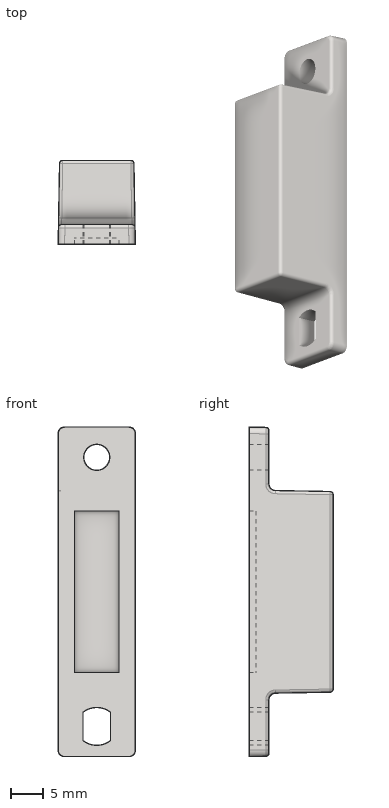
import cadquery as cq

length = 51.0
width = 12.0
depth = 13.0
plate_thickness = 3.05
block_length = 31.5
draft_angle = 1.0

corner_radius = 1.0
root_radius = 1.0
edge_radius = 0.5

opening_offset = 20.8
hole_diameter = 4.0
slot_width = 4.2
slot_length = 5.8
slot_end_rise = 0.7

pocket_width = 6.95
pocket_length = 25.0
pocket_depth = 1.0


def mounting_face():
    """Workplane on the mounting face: local x is -X, local y is Z, normal is +Y."""
    return cq.Workplane("XZ").transformed(rotate=(0, 180, 0))


def tapered_bar(bar_length, bar_depth):
    """Full-width bar that narrows with the draft angle toward +Y."""
    return mounting_face().rect(width, bar_length).extrude(bar_depth, taper=draft_angle)


def make_body():
    """Drafted plate and block with rounded plate corners, roots and rear edges."""
    plate = tapered_bar(length, plate_thickness)
    block = tapered_bar(block_length, depth)
    body = plate.union(block)

    corner_zone = cq.selectors.BoxSelector(
        (-width, -depth, -block_length / 2 - root_radius),
        (width, depth, block_length / 2 + root_radius),
    )
    plate_corners = cq.selectors.SubtractSelector(
        cq.selectors.BoxSelector((-width, edge_radius, -length),
                                 (width, plate_thickness - edge_radius, length)),
        corner_zone,
    )
    body = body.edges(plate_corners).fillet(corner_radius)

    root_zone = cq.selectors.BoxSelector(
        (-edge_radius, plate_thickness - edge_radius, -block_length / 2 - edge_radius),
        (edge_radius, plate_thickness + edge_radius, block_length / 2 + edge_radius),
    )
    body = body.edges(root_zone).fillet(root_radius)

    rear_faces = body.faces("+Y")
    rim = rear_faces.edges(cq.selectors.SubtractSelector(
        cq.selectors.BoxSelector((-width, 0, -length), (width, 2 * depth, length)),
        cq.selectors.BoxSelector((-edge_radius, 0, -block_length / 2 - 2 * root_radius),
                                 (edge_radius, depth - edge_radius,
                                  block_length / 2 + 2 * root_radius)),
    ))
    block_end_edges = body.edges(cq.selectors.BoxSelector(
        (-width, plate_thickness + root_radius, -block_length),
        (width, depth - edge_radius, block_length),
    ))
    return rim.add(block_end_edges).fillet(edge_radius)


def make_hole():
    """Round through hole near the top end."""
    return mounting_face().center(0, opening_offset).circle(hole_diameter / 2).extrude(depth)


def make_slot():
    """Straight-sided through slot with shallow arched ends near the bottom end."""
    half_width = slot_width / 2
    half_length = slot_length / 2
    half_side = half_length - slot_end_rise
    return (
        mounting_face()
        .center(0, -opening_offset)
        .moveTo(half_width, -half_side)
        .lineTo(half_width, half_side)
        .threePointArc((0, half_length), (-half_width, half_side))
        .lineTo(-half_width, -half_side)
        .threePointArc((0, -half_length), (half_width, -half_side))
        .close()
        .extrude(depth)
    )


def make_pocket():
    """Rectangular recess centred on the mounting face."""
    return mounting_face().rect(pocket_width, pocket_length).extrude(pocket_depth)


result = make_body().cut(make_hole()).cut(make_slot()).cut(make_pocket())